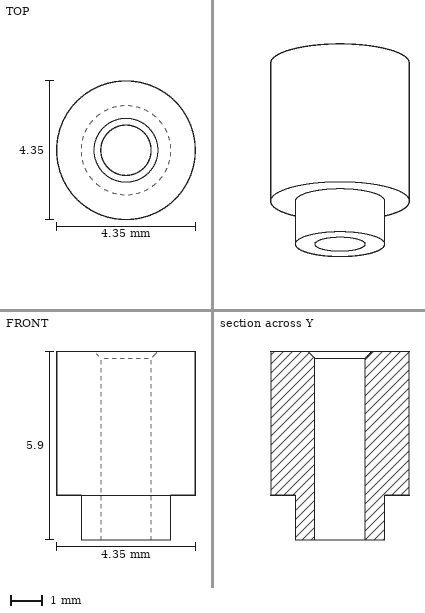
import cadquery as cq

body_diameter = 4.35
body_height = 4.5
spigot_diameter = 2.8
spigot_length = 1.4
bore_diameter = 1.57
countersink_diameter = 2.0

countersink_depth = (countersink_diameter - bore_diameter) / 2


def make_body():
    """Cylindrical spacer body standing on the seating face at Z = 0."""
    return cq.Workplane("XY").circle(body_diameter / 2).extrude(body_height)


def make_spigot():
    """Narrower spigot reaching down from the seating face."""
    return cq.Workplane("XY").circle(spigot_diameter / 2).extrude(-spigot_length)


def cut_bore(part):
    """Drill the bore through the full length and countersink its top edge."""
    drilled = part.faces(">Z").workplane().hole(bore_diameter)
    smallest_circle = cq.selectors.RadiusNthSelector(0)
    bore_rim = drilled.faces(">Z").edges(smallest_circle)
    return bore_rim.chamfer(countersink_depth)


result = cut_bore(make_body().union(make_spigot()))